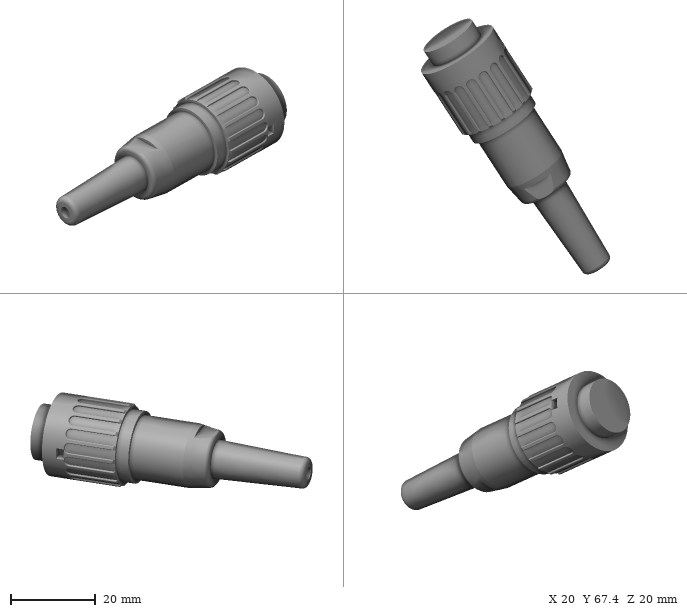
import cadquery as cq

TOTAL_LENGTH = 67.4
SLEEVE_START = 4.1
SLEEVE_END = 22.2
COLLAR_END = 25.25
BARREL_END = 38.65
CLAMP_END = 44.55

PLUG_DIAMETER = 13.5
SLEEVE_DIAMETER = 20.0
COLLAR_DIAMETER = 17.4
BARREL_DIAMETER = 15.5
CLAMP_END_DIAMETER = 13.6
CLAMP_ROUND = 1.0

TAIL_ROOT_DIAMETER = 9.4
TAIL_TIP_DIAMETER = 7.5
TAIL_TIP_ROUND = 1.2
CABLE_HOLE_DIAMETER = 3.0
CABLE_HOLE_DEPTH = 10.0

RECESS_DIAMETER = 9.6
RECESS_DEPTH = 0.5

FLAT_SPACING = 13.1
FLAT_START = 40.05

FLUTE_COUNT = 18
FLUTE_DEPTH = 0.5
FLUTE_WIDTH = 2.4
FLUTE_START = 9.6
RIDGE_ROUND = 0.2
SLEEVE_CHAMFER = 0.45

WINDOW_WIDTH = 2.7
WINDOW_START = 7.6
WINDOW_END = 9.55
WINDOW_FLOOR_DIAMETER = BARREL_DIAMETER

OVERCUT = 1.0


def cylinder(diameter, start, end):
    """Solid cylinder on the Y axis between two stations."""
    return cq.Workplane("XZ", origin=(0, -start, 0)).circle(diameter / 2).extrude(end - start)


def cone(start_diameter, end_diameter, start, end):
    """Solid cone frustum on the Y axis between two stations."""
    profile = [
        (0, -start),
        (start_diameter / 2, -start),
        (end_diameter / 2, -end),
        (0, -end),
    ]
    return cq.Workplane("XY").polyline(profile).close().revolve(360, (0, 0, 0), (0, 1, 0))


def make_flute_cutter():
    """Round-ended channel with a floor concentric with the sleeve."""
    half_width = FLUTE_WIDTH / 2
    arc_center = -(FLUTE_START + half_width)
    open_end = -(SLEEVE_END + OVERCUT)
    channel = (
        cq.Workplane("XY")
        .moveTo(-half_width, open_end)
        .lineTo(-half_width, arc_center)
        .threePointArc((0, -FLUTE_START), (half_width, arc_center))
        .lineTo(half_width, open_end)
        .close()
        .extrude(SLEEVE_DIAMETER / 2 + OVERCUT)
    )
    core = cylinder(SLEEVE_DIAMETER - 2 * FLUTE_DEPTH, 0, TOTAL_LENGTH)
    return channel.cut(core)


def make_window_cutter():
    """Block crossing both sides of the sleeve, stopping at a round floor."""
    length = WINDOW_END - WINDOW_START
    block = cq.Workplane("XY").box(SLEEVE_DIAMETER + OVERCUT, length, WINDOW_WIDTH)
    block = block.translate((0, -(WINDOW_START + WINDOW_END) / 2, 0))
    return block.cut(cylinder(WINDOW_FLOOR_DIAMETER, 0, TOTAL_LENGTH))


def make_sleeve():
    """Grip sleeve with flutes and index windows."""
    sleeve = cylinder(SLEEVE_DIAMETER, SLEEVE_START, SLEEVE_END)
    flute = make_flute_cutter()
    for index in range(FLUTE_COUNT):
        angle = index * 360 / FLUTE_COUNT
        sleeve = sleeve.cut(flute.rotate((0, 0, 0), (0, 1, 0), angle))
    grip_face = sleeve.faces(cq.selectors.AreaNthSelector(-1))
    sleeve = grip_face.edges("(not >Y) and (not <Y) and (not >X)").fillet(RIDGE_ROUND)
    envelope = cylinder(SLEEVE_DIAMETER, SLEEVE_START, SLEEVE_END)
    sleeve = sleeve.intersect(envelope.faces("<Y").edges().chamfer(SLEEVE_CHAMFER))
    return sleeve.cut(make_window_cutter())


def make_clamp():
    """Tapered cable clamp with a rounded end, two wrench flats and a recess."""
    clamp = cone(BARREL_DIAMETER, CLAMP_END_DIAMETER, BARREL_END, CLAMP_END)
    clamp = clamp.faces("<Y").edges().fillet(CLAMP_ROUND)
    for side in (1, -1):
        flat = cq.Workplane("XY").box(BARREL_DIAMETER, BARREL_DIAMETER, BARREL_DIAMETER)
        offset = (FLAT_SPACING + BARREL_DIAMETER) / 2
        clamp = clamp.cut(flat.translate((0, -FLAT_START - BARREL_DIAMETER / 2, side * offset)))
    return clamp.cut(cylinder(RECESS_DIAMETER, CLAMP_END - RECESS_DEPTH, CLAMP_END + OVERCUT))


def make_tail():
    """Tapered cable tail with a rounded tip and a blind cable hole."""
    tail = cone(TAIL_ROOT_DIAMETER, TAIL_TIP_DIAMETER, CLAMP_END - RECESS_DEPTH, TOTAL_LENGTH)
    tail = tail.faces("<Y").edges().fillet(TAIL_TIP_ROUND)
    hole = cylinder(CABLE_HOLE_DIAMETER, TOTAL_LENGTH - CABLE_HOLE_DEPTH, TOTAL_LENGTH)
    return tail.cut(hole)


plug = cylinder(PLUG_DIAMETER, 0, SLEEVE_START)
collar = cylinder(COLLAR_DIAMETER, SLEEVE_END, COLLAR_END)
barrel = cylinder(BARREL_DIAMETER, COLLAR_END, BARREL_END)

result = make_sleeve()
for section in (plug, collar, barrel, make_clamp(), make_tail()):
    result = result.union(section)